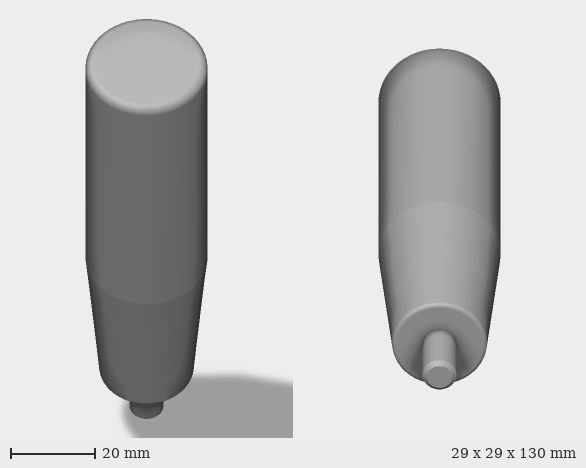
import cadquery as cq

total_length = 130.0
grip_diameter = 29.0
grip_base_diameter = 22.4
taper_top = 57.1
top_rounding = 2.1
base_rounding = 1.0

pin_length = 15.0
pin_diameter = 8.0
pin_tip_diameter = 6.0
pin_tip_height = 1.0


def make_grip():
    """Tapered lower section running into a cylinder, rounded at both ends."""
    profile = (
        cq.Workplane("XZ")
        .moveTo(0, pin_length)
        .lineTo(grip_base_diameter / 2, pin_length)
        .lineTo(grip_diameter / 2, taper_top)
        .lineTo(grip_diameter / 2, total_length)
        .lineTo(0, total_length)
        .close()
    )
    grip = profile.revolve(360, (0, 0, 0), (0, 1, 0))
    grip = grip.faces(">Z").edges().fillet(top_rounding)
    return grip.faces("<Z").edges().fillet(base_rounding)


def make_pin():
    """Straight pin with a chamfered lower tip."""
    tip_inset = (pin_diameter - pin_tip_diameter) / 2
    pin = cq.Workplane("XY").circle(pin_diameter / 2).extrude(pin_length)
    tip_edge = pin.faces("<Z").edges()
    return tip_edge.chamfer(pin_tip_height, tip_inset)


result = make_grip().union(make_pin())